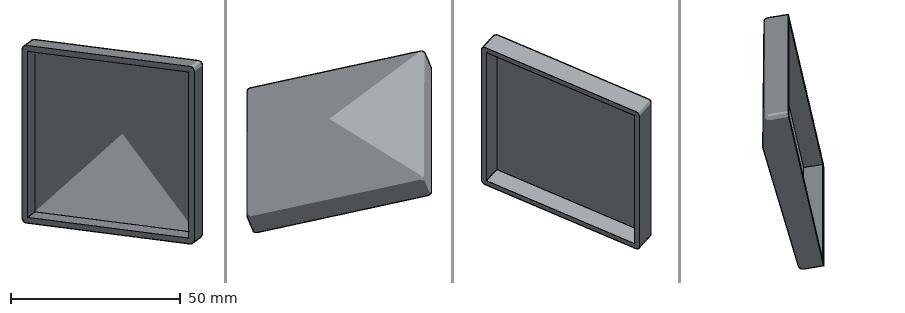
import cadquery as cq
import math

CAP_SIZE = 55.0
CAP_HEIGHT = 13.0
WALL = 1.8
EAVES_HEIGHT = 7.2
EDGE_RADIUS = 1.5

ROOF_ANGLE = math.atan((CAP_HEIGHT - EAVES_HEIGHT) / (CAP_SIZE / 2))
CAVITY_SIZE = CAP_SIZE - 2 * WALL
CAVITY_HEIGHT = CAP_HEIGHT - WALL / math.cos(ROOF_ANGLE)


def pyramid_block(side, apex_height):
    """Square block standing on the XZ plane, rising along +Y to a pyramid roof."""
    half = side / 2
    eaves_height = apex_height - half * math.tan(ROOF_ANGLE)
    gable = [
        (-half, 0),
        (half, 0),
        (half, eaves_height),
        (0, apex_height),
        (-half, eaves_height),
    ]
    ridge_along_z = cq.Workplane("XY").polyline(gable).close().extrude(half, both=True)
    ridge_along_x = ridge_along_z.rotate((0, 0, 0), (0, 1, 0), 90)
    return ridge_along_z.intersect(ridge_along_x)


def outer_body():
    """Solid cap with rounded skirt corners and rounded eaves."""
    body = pyramid_block(CAP_SIZE, CAP_HEIGHT)
    skirt_corners = "|Y"
    eaves = "(|X or |Z) and (not <Y)"
    return body.edges(f"{skirt_corners} or ({eaves})").fillet(EDGE_RADIUS)


cavity = pyramid_block(CAVITY_SIZE, CAVITY_HEIGHT)
result = outer_body().cut(cavity)